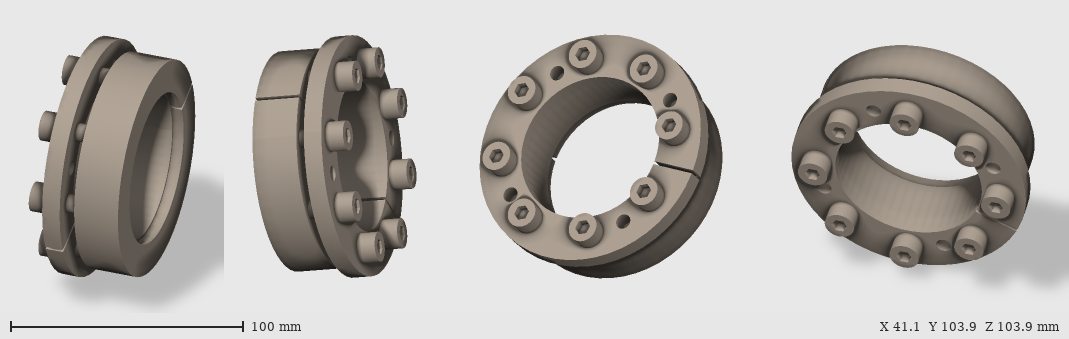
import cadquery as cq
import math

head_length = 8.0
flange_thickness = 8.0
gap = 5.0
ring_width = 20.1

flange_front = head_length
flange_back = flange_front + flange_thickness
ring_front = flange_back + gap
ring_back = ring_front + ring_width

flange_diameter = 103.9
bore_diameter = 64.8
taper_start_radius = 35.0
taper_angle = 4.0
sleeve_end_clearance = 5.0
sleeve_back = ring_back - sleeve_end_clearance

ring_diameter = 95.0

slit_width = 1.5
ring_slit_angle = 22.5
sleeve_slit_angle = ring_slit_angle + 180.0

screw_count = 8
bolt_circle_radius = 40.5
head_diameter = 13.0
shank_diameter = 8.0
socket_across_flats = 6.0
socket_depth = 4.2

jack_hole_count = 4
jack_hole_diameter = 6.7
jack_hole_first_angle = ring_slit_angle + 45.0


def taper_radius(x):
    """Radius of the conical contact surface at axial position x."""
    return taper_start_radius - (x - flange_back) * math.tan(math.radians(taper_angle))


def disc(diameter, x_start, x_end):
    """Cylinder about the X axis between two axial positions."""
    return cq.Workplane("YZ", origin=(x_start, 0, 0)).circle(diameter / 2).extrude(x_end - x_start)


def cone(x_start, x_end):
    """Solid bounded by the conical contact surface between two axial positions."""
    return (
        cq.Workplane("XY")
        .moveTo(x_start, 0)
        .lineTo(x_start, taper_radius(x_start))
        .lineTo(x_end, taper_radius(x_end))
        .lineTo(x_end, 0)
        .close()
        .revolve(360, (0, 0, 0), (1, 0, 0))
    )


def radial_slit(angle):
    """Full-length slab that cuts one side of a ring open at the given angle."""
    return (
        cq.Workplane("XY")
        .box(ring_back, flange_diameter, slit_width, centered=(False, False, True))
        .rotate((0, 0, 0), (1, 0, 0), angle)
    )


def bolt_circle_points(count, first_angle):
    """Evenly spaced (Y, Z) points on the bolt circle."""
    angles = [math.radians(first_angle + 360.0 * i / count) for i in range(count)]
    return [(bolt_circle_radius * math.cos(a), bolt_circle_radius * math.sin(a)) for a in angles]


def bolt_circle_pins(points, diameter):
    """Full-length cylinders on the bolt circle, used to drill holes."""
    return cq.Workplane("YZ").pushPoints(points).circle(diameter / 2).extrude(ring_back)


screw_points = bolt_circle_points(screw_count, 0.0)
jack_points = bolt_circle_points(jack_hole_count, jack_hole_first_angle)


def make_flanged_sleeve():
    """Split flange and tapered sleeve, with screw holes and jacking holes."""
    return (
        disc(flange_diameter, flange_front, flange_back)
        .union(cone(flange_back, sleeve_back))
        .cut(disc(bore_diameter, flange_front, sleeve_back))
        .cut(bolt_circle_pins(screw_points, shank_diameter))
        .cut(bolt_circle_pins(jack_points, jack_hole_diameter))
        .cut(radial_slit(sleeve_slit_angle))
    )


def make_clamping_ring():
    """Split ring with a tapered bore and holes for the screws."""
    return (
        disc(ring_diameter, ring_front, ring_back)
        .cut(cone(ring_front, ring_back))
        .cut(bolt_circle_pins(screw_points, shank_diameter))
        .cut(radial_slit(ring_slit_angle))
    )


def make_screw(y, z):
    """Screw with a hexagon socket, ending flush with the ring's back face."""
    socket_across_corners = socket_across_flats / math.cos(math.radians(30.0))
    socket = cq.Workplane("YZ").polygon(6, socket_across_corners).extrude(socket_depth)
    return (
        disc(head_diameter, 0, head_length)
        .union(disc(shank_diameter, head_length, ring_back))
        .cut(socket)
        .translate((0, y, z))
    )


flanged_sleeve = make_flanged_sleeve()
clamping_ring = make_clamping_ring()
screws = [make_screw(y, z) for y, z in screw_points]

result = cq.Compound.makeCompound(
    [flanged_sleeve.val(), clamping_ring.val()] + [screw.val() for screw in screws]
)